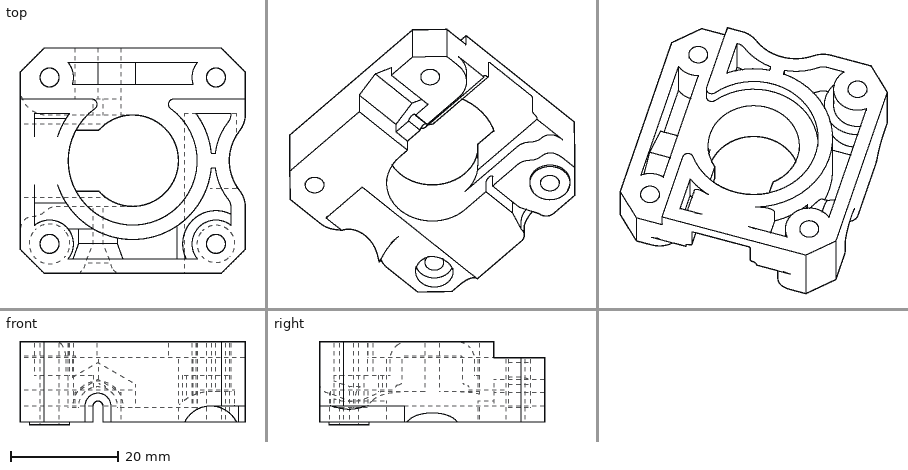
import cadquery as cq
import math

side = 42.0
half = side / 2
height = 15.0
corner_chamfer = 4.5
wall = 2.7

step_y = 11.5
step_z = 12.0
recess_radius = 12.0
recess_tip_radius = 1.0
ring_radius = recess_radius + wall
bore_radius = 8.5

screw_offset = 15.5
screw_diameter = 3.5
boss_radius = screw_diameter / 2 + wall
screw_head_diameter = 7.0
screw_head_depth = 6.0
foot_diameter = 7.5
foot_height = 0.5

notch_radius = 9.0
notch_depth = 3.0
notch_lip_radius = 5.0

slot_half_width = 5.65
slot_top = height - wall
slot_top_radius = 0.3
slot_neck_radius = 0.6
slot_neck_rise = 0.35
slot_cover_half_width = 7.85
slot_cover_radius = 3.3
pocket_height = 6.0
pocket_flare_radius = 5.0
pillar_turn = math.asin(0.32)
pillar_radius = 2.2
sway_turn = math.radians(45)
pocket_cover_front_y = -12.73

passage_x = -6.48
passage_z = 3.0
passage_radius = 0.9
passage_cover_radius = passage_radius + wall
cone_start_y = -15.4
cone_end_y = -19.1
cone_end_radius = 2.4
mouth_radius = cone_end_radius + half + cone_end_y
cone_cover_radius = 4.66

trap_half_flats = 4.3
trap_cover_half_flats = trap_half_flats + wall
trap_start_y = step_y

cutout_height = 3.0
cutout_left_end_x = passage_x + trap_half_flats
cutout_right_end_y = -5.2
channel_x = 14.5
channel_radius = 5.4
channel_z = cutout_height - channel_radius

inner_half = half - wall
light_pocket_back_y = step_y - wall
light_pocket_floor = wall


def box(x0, x1, y0, y1, z0, z1):
    """Box between two opposite corners."""
    return cq.Workplane("XY").box(x1 - x0, y1 - y0, z1 - z0, centered=False).translate((x0, y0, z0))


def upright(x, y, radius, z0, z1):
    """Cylinder along Z."""
    return cq.Workplane("XY", origin=(x, y, z0)).circle(radius).extrude(z1 - z0)


def along_y(x, z, radius, y0, y1):
    """Cylinder along Y."""
    return cq.Workplane("XZ", origin=(x, y0, z)).circle(radius).extrude(y0 - y1)


def notch(inset):
    """Region beyond the notch curve of the +X side, moved inwards by inset."""
    edge_x = half - inset
    radius = notch_radius + inset
    lip = notch_lip_radius - inset
    centre_x = half - notch_depth + notch_radius
    lip_x = edge_x - lip
    lip_y = math.sqrt((radius + lip) ** 2 - (centre_x - lip_x) ** 2)
    share = lip / (radius + lip)
    join_x = lip_x + share * (centre_x - lip_x)
    join_y = lip_y * (1 - share)
    turn = math.atan2(lip_y, centre_x - lip_x) / 2
    mid_x = lip_x + lip * math.cos(turn)
    mid_y = lip_y - lip * math.sin(turn)
    return (
        cq.Workplane("XY")
        .moveTo(edge_x, lip_y)
        .threePointArc((mid_x, mid_y), (join_x, join_y))
        .threePointArc((centre_x - radius, 0), (join_x, -join_y))
        .threePointArc((mid_x, -mid_y), (edge_x, -lip_y))
        .lineTo(centre_x, -lip_y)
        .lineTo(centre_x, lip_y)
        .close()
        .extrude(height)
    )


def make_block():
    block = box(-half, half, -half, half, 0, height)
    return block.edges("|Z").chamfer(corner_chamfer).cut(notch(0))


def make_top_recess():
    """Low step along +Y joined to the round recess, with rounded tips where they meet."""
    depth = height - step_z
    tip_y = step_y - recess_tip_radius
    tip_x = math.sqrt((recess_radius + recess_tip_radius) ** 2 - tip_y**2)
    share = recess_radius / (recess_radius + recess_tip_radius)
    neck = (
        cq.Workplane("XY", origin=(0, 0, step_z))
        .polyline([(-tip_x, step_y), (tip_x, step_y), (tip_x, tip_y), (tip_x * share, tip_y * share),
                   (-tip_x * share, tip_y * share), (-tip_x, tip_y)])
        .close()
        .extrude(depth)
    )
    for sign in (-1, 1):
        neck = neck.cut(upright(sign * tip_x, tip_y, recess_tip_radius, step_z, height))
    step = box(-half, half, step_y, half, step_z, height)
    return step.union(upright(0, 0, recess_radius, step_z, height)).union(neck)


def hexagon(half_flats, y0, y1):
    """Hexagonal bar along Y, on the passage axis, with a point upwards."""
    radius = half_flats / math.cos(math.pi / 6)
    points = []
    for i in range(6):
        angle = math.pi / 2 + i * math.pi / 3
        points.append((radius * math.cos(angle), radius * math.sin(angle)))
    plane = cq.Workplane("XZ", origin=(passage_x, y0, passage_z))
    return plane.polyline(points).close().extrude(y0 - y1)


def make_covers():
    """Material that stays inside the light pockets, over the hollows below."""
    slot = box(-half, 0, -slot_cover_half_width, slot_cover_half_width, 0, height)
    slot = slot.edges("|X and >Z").fillet(slot_cover_radius)
    pocket = box(-half, 0, pocket_cover_front_y, light_pocket_back_y, 0, pocket_height + wall)
    tube = along_y(passage_x, passage_z, passage_cover_radius, -half, 0)
    tube_foot = box(passage_x - passage_cover_radius, passage_x + passage_cover_radius,
                    -half, 0, 0, passage_z)
    cone = (
        cq.Workplane("XY", origin=(passage_x, 0, passage_z))
        .polyline([(0, cone_start_y), (passage_cover_radius, cone_start_y),
                   (cone_cover_radius, -inner_half), (0, -inner_half)])
        .close()
        .revolve(360, (0, 0), (0, 1))
    )
    trap = hexagon(trap_cover_half_flats, step_y, half)
    channel = along_y(channel_x, channel_z, channel_radius + wall, -half, step_y)
    cutout = box(channel_x, half, -half, step_y, 0, cutout_height + wall)
    screw_head = upright(screw_offset, -screw_offset, screw_head_diameter / 2 + wall,
                         0, screw_head_depth + wall)
    covers = slot
    for cover in (pocket, tube, tube_foot, cone, trap, channel, cutout, screw_head):
        covers = covers.union(cover)
    return covers


def make_light_pockets():
    """Pockets open at the top, between the outer walls, the ring and the bosses."""
    front = box(-inner_half, inner_half, -inner_half, light_pocket_back_y, light_pocket_floor, height)
    front = front.cut(upright(0, 0, ring_radius, 0, height))
    front = front.cut(notch(wall))
    front = front.cut(box(0, half, -wall / 2, wall / 2, 0, height))
    back = box(-screw_offset, screw_offset, step_y + wall, inner_half, light_pocket_floor, height)
    pockets = front.union(back)
    for sx in (-1, 1):
        for sy in (-1, 1):
            pockets = pockets.cut(upright(sx * screw_offset, sy * screw_offset, boss_radius, 0, height))
    return pockets.cut(make_covers())


def arc_to(path, centre, radius, start, end):
    """Add the arc about centre from the current point, at angle start, to angle end."""
    points = []
    for angle in ((start + end) / 2, end):
        points.append((centre[0] + radius * math.cos(angle), centre[1] + radius * math.sin(angle)))
    return path.threePointArc(points[0], points[1])


def make_flared_pocket():
    """Low pocket from the -X side to the bore; its -Y wall flares out in an S-curve."""
    flare_y = bore_radius + pocket_flare_radius
    flare_x = -half + pocket_flare_radius
    tighten = math.pi - pillar_turn
    pillar_shift = pocket_flare_radius - pillar_radius
    pillar_x = flare_x + pillar_shift * math.cos(tighten)
    pillar_y = -flare_y + pillar_shift * math.sin(tighten)
    pillar_top_y = pillar_y + pillar_radius
    sway_radius = (-bore_radius - pillar_top_y) / (2 * (1 - math.cos(sway_turn)))
    sway_end_x = pillar_x + 2 * sway_radius * math.sin(sway_turn)
    up = math.pi / 2
    path = cq.Workplane("XY").moveTo(-half, -flare_y)
    path = arc_to(path, (flare_x, -flare_y), pocket_flare_radius, math.pi, tighten)
    path = arc_to(path, (pillar_x, pillar_y), pillar_radius, tighten, up)
    path = arc_to(path, (pillar_x, pillar_top_y + sway_radius), sway_radius, -up, sway_turn - up)
    path = arc_to(path, (sway_end_x, -bore_radius - sway_radius), sway_radius, up + sway_turn, up)
    path = path.lineTo(0, -bore_radius).lineTo(0, bore_radius).lineTo(flare_x, bore_radius)
    path = arc_to(path, (flare_x, flare_y), pocket_flare_radius, -up, -math.pi)
    return path.close().extrude(pocket_height)


def make_side_opening():
    """Slot and flared pocket that join the -X side to the bore."""
    r = slot_neck_radius
    neck_y = slot_half_width + r
    foot_y = neck_y + r
    neck_z = pocket_height + slot_neck_rise + r
    slot = box(-half, 0, -slot_half_width, slot_half_width, 0, slot_top)
    slot = slot.edges("|X and >Z").fillet(slot_top_radius)
    foot = box(-half, 0, -foot_y, foot_y, 0, neck_z).edges("|X and >Z").fillet(r)
    shoulder = box(-half, 0, -neck_y, neck_y, 0, neck_z + r)
    for sign in (-1, 1):
        shoulder = shoulder.cut(
            cq.Workplane("YZ", origin=(-half, sign * neck_y, neck_z + r)).circle(r).extrude(half)
        )
    return slot.union(foot).union(shoulder).union(make_flared_pocket())


def passage_half_profile():
    """Half outline of the passage and its mouth, from the axis outwards."""
    bend = (mouth_radius - cone_end_radius) * (1 - math.sqrt(0.5))
    return (
        cq.Workplane("XY")
        .moveTo(0, -half)
        .lineTo(mouth_radius, -half)
        .threePointArc((cone_end_radius + bend, -half + bend), (cone_end_radius, cone_end_y))
        .lineTo(passage_radius, cone_start_y)
        .lineTo(passage_radius, trap_start_y)
        .lineTo(0, trap_start_y)
        .close()
    )


def make_passage():
    """Filament passage with a rounded, conical mouth, open to the bottom, and its hexagonal trap."""
    arch = passage_half_profile().revolve(360, (0, 0), (0, 1))
    slot_half = passage_half_profile().extrude(-passage_z)
    passage = arch.union(slot_half).union(slot_half.mirror("YZ"))
    passage = passage.translate((passage_x, 0, passage_z))
    return passage.union(hexagon(trap_half_flats, trap_start_y, half))


def make_cutouts():
    left = box(-half, cutout_left_end_x, bore_radius, half, 0, cutout_height)
    right = box(channel_x, half, -half, cutout_right_end_y, 0, cutout_height)
    channel = along_y(channel_x, channel_z, channel_radius, -half, light_pocket_back_y)
    return left.union(right).union(channel)


def make_screw_holes():
    holes = upright(screw_offset, -screw_offset, screw_head_diameter / 2, 0, screw_head_depth)
    for sx in (-1, 1):
        for sy in (-1, 1):
            holes = holes.union(
                upright(sx * screw_offset, sy * screw_offset, screw_diameter / 2, -foot_height, height)
            )
    return holes


body = make_block()
body = body.cut(make_light_pockets())
body = body.cut(make_top_recess())
body = body.cut(upright(0, 0, bore_radius, 0, height))
body = body.cut(make_side_opening())
body = body.cut(make_passage())
body = body.cut(make_cutouts())
body = body.union(upright(-screw_offset, -screw_offset, foot_diameter / 2, -foot_height, foot_height))
result = body.cut(make_screw_holes())